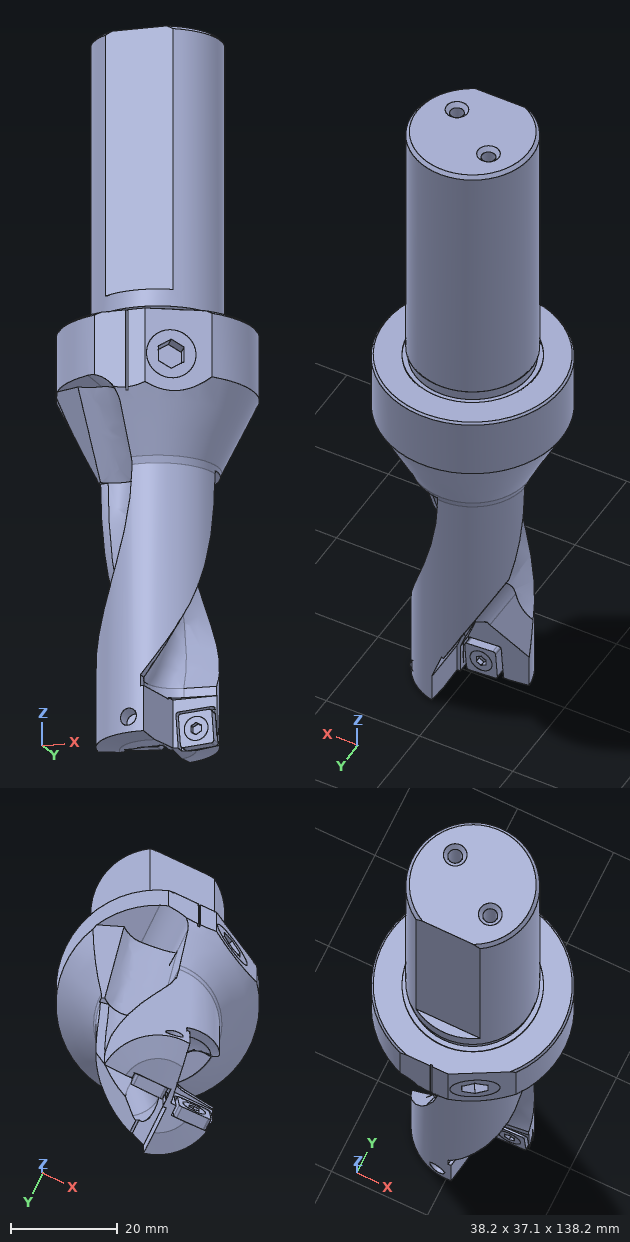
import cadquery as cq
import math


TOTAL_HEIGHT = 138.2
COLLAR_TOP_Z = 81.1
COLLAR_BOTTOM_Z = 68.3
CONE_BOTTOM_Z = 54.2
NECK_TOP_Z = 82.8
FLAT_BOTTOM_Z = 86.5

SHANK_RADIUS = 12.6
NECK_RADIUS = 12.2
COLLAR_RADIUS = 19.1
CONE_BOTTOM_RADIUS = 12.0
DRILL_RADIUS = 11.6
UNDERCUT_RADIUS = 13.3
UNDERCUT_DEPTH = 0.3
SHANK_CHAMFER = 0.7
COLLAR_CHAMFER = 0.4
DRILL_TOP_Z = 52.8

TIP_RING_RADIUS = 7.2
TIP_BEVEL = 0.5
TIP_DISH = 0.4

SHANK_FLAT_Y = -10.6
COLLAR_FLAT_Y = -18.0
PLUG_FLAT_ANGLE = 28.0
PLUG_FLAT_DISTANCE = 17.5
MARK_WIDTH = 0.4
MARK_DEPTH = 0.3

COOLANT_X = -5.5
COOLANT_Y = 3.9
COOLANT_RADIUS = 1.4
COOLANT_MOUTH_RADIUS = 2.2
COOLANT_DEPTH = TOTAL_HEIGHT - COLLAR_TOP_Z

PLUG_X = 8.0
PLUG_Z = 72.4
PLUG_RADIUS = 4.7
PLUG_LENGTH = 5.5
PLUG_HEX_DIAMETER = 5.7
PLUG_HEX_DEPTH = 3.5

FLUTE_WALL_X = -1.1
FLUTE_CENTRE_Y = -5.3
FLUTE_ARC_RADIUS = 6.2
FLUTE_LIP_X = -10.0
FLUTE_LIP_RISE = 0.2
FLUTE_REACH = 16.6
FLUTE_TOP_Z = 53.3
FLUTE_BOTTOM_Z = 9.4
FLUTE_SECTIONS = 9
TWIST_ANGLE = 84.0
TWIST_BOTTOM_Z = 11.5
FLUTE_CENTRE_X = FLUTE_WALL_X - FLUTE_ARC_RADIUS

RUNOUT_RISE = 9.7
RUNOUT_SLOPE_X = -0.06
RUNOUT_SLOPE_Y = -0.65
RUNOUT_LIP_X = -11.2
RUNOUT_LIP_RISE = 0.4
RUNOUT_REACH = 27.6

RELIEF_RADIUS = 5.1
RELIEF_WALL_OFFSET = 2.8
RELIEF_CENTRE = cq.Vector(-2.8, 4.7, 11.6)
RELIEF_AXIS = cq.Vector(-0.53, -0.38, 1.0).normalized()
RELIEF_LENGTH = 24.9
RELIEF_OPENING_DROP = 2.8

INSERT_SIZE = 6.6
INSERT_THICKNESS = 2.3
INSERT_CORNER_RADIUS = 0.5
INSERT_TILT = 4.0
INSERT_Z = 3.6
OUTER_INSERT_X = 7.6
INNER_INSERT_X = -2.0
OUTER_FACE_Y = 0.0
INNER_FACE_Y = 0.3
POCKET_CLEARANCE = 0.5

OUTER_FLOOR_Y = 0.3
OUTER_WALL_EDGE_X = 1.1
OUTER_WALL_ROOT_X = 2.9
OUTER_SPACE_TOP_Z = 9.7
INNER_FLOOR_Y = -1.0
INNER_WALL_X = 2.5
INNER_STEP_Y = 1.5
INNER_STEP_WIDTH = 0.7
INNER_SLOPE_BOTTOM_Z = 6.6
INNER_SLOPE_TOP_Z = 12.7
INNER_SLOPE_RUN = 2.2

SCREW_HEAD_RADIUS = 2.3
SCREW_HEAD_DEPTH = 1.2
SCREW_RADIUS = 1.7
SCREW_LENGTH = 7.6
SCREW_HEX_DIAMETER = 2.3
SCREW_HEX_DEPTH = 1.1


def turned_blank():
    """Shank, neck, collar, cone and drill stem as one revolved solid."""
    profile = [
        (0, TIP_DISH),
        (TIP_RING_RADIUS, 0),
        (DRILL_RADIUS, TIP_BEVEL),
        (DRILL_RADIUS, DRILL_TOP_Z),
        (CONE_BOTTOM_RADIUS, CONE_BOTTOM_Z),
        (COLLAR_RADIUS, COLLAR_BOTTOM_Z),
        (COLLAR_RADIUS, COLLAR_TOP_Z - COLLAR_CHAMFER),
        (COLLAR_RADIUS - COLLAR_CHAMFER, COLLAR_TOP_Z),
        (UNDERCUT_RADIUS, COLLAR_TOP_Z),
        (UNDERCUT_RADIUS, COLLAR_TOP_Z - UNDERCUT_DEPTH),
        (NECK_RADIUS, COLLAR_TOP_Z - UNDERCUT_DEPTH),
        (NECK_RADIUS, NECK_TOP_Z),
        (SHANK_RADIUS, NECK_TOP_Z + SHANK_RADIUS - NECK_RADIUS),
        (SHANK_RADIUS, TOTAL_HEIGHT - SHANK_CHAMFER),
        (SHANK_RADIUS - SHANK_CHAMFER, TOTAL_HEIGHT),
        (0, TOTAL_HEIGHT),
    ]
    return cq.Workplane("XZ").polyline(profile).close().revolve(360, (0, 0), (0, 1))


def block(x_range, y_range, z_range):
    """Axis-aligned box between the given limits."""
    sizes = [high - low for low, high in (x_range, y_range, z_range)]
    corner = (x_range[0], y_range[0], z_range[0])
    return cq.Workplane("XY").box(*sizes, centered=False).translate(corner)


def half_turn(shape):
    """Copy of the shape on the opposite side of the drill axis."""
    return shape.rotate((0, 0, 0), (0, 0, 1), 180)


def cut_flats(body):
    """Shank flat, two collar flats and the orientation mark on the collar."""
    far = 2 * COLLAR_RADIUS
    shank_flat = block((-far, far), (-far, SHANK_FLAT_Y), (FLAT_BOTTOM_Z, TOTAL_HEIGHT))
    collar_z = (DRILL_TOP_Z, COLLAR_TOP_Z)
    collar_flat = block((-far, far), (-far, COLLAR_FLAT_Y), collar_z)
    plug_flat = block((-far, far), (-far, -PLUG_FLAT_DISTANCE), collar_z)
    plug_flat = plug_flat.rotate((0, 0, 0), (0, 0, 1), PLUG_FLAT_ANGLE)
    mark = block((-MARK_WIDTH / 2, MARK_WIDTH / 2), (-far, COLLAR_FLAT_Y + MARK_DEPTH), collar_z)
    return body.cut(shank_flat).cut(collar_flat).cut(plug_flat).cut(mark)


def cut_coolant_inlets(body):
    """Two countersunk coolant holes in the shank end."""
    inlets = [(COOLANT_X, COOLANT_Y), (-COOLANT_X, -COOLANT_Y)]
    top = cq.Workplane("XY", origin=(0, 0, TOTAL_HEIGHT))
    bores = top.pushPoints(inlets).circle(COOLANT_RADIUS).extrude(-COOLANT_DEPTH)
    body = body.cut(bores)
    for x, y in inlets:
        mouth_depth = COOLANT_MOUTH_RADIUS - COOLANT_RADIUS
        mouth = cq.Solid.makeCone(
            COOLANT_MOUTH_RADIUS, COOLANT_RADIUS, mouth_depth,
            cq.Vector(x, y, TOTAL_HEIGHT), cq.Vector(0, 0, -1),
        )
        body = body.cut(cq.Workplane(mouth))
    return body


def flute_section(reach, lip_x, lip_rise):
    """Closed flute outline in the XY plane, open towards -X and -Y up to the reach."""
    bend = FLUTE_ARC_RADIUS * math.sqrt(0.5)
    lip_y = FLUTE_CENTRE_Y + math.sqrt(FLUTE_ARC_RADIUS**2 - (lip_x - FLUTE_CENTRE_X) ** 2)
    return (
        cq.Workplane("XY")
        .moveTo(FLUTE_WALL_X, -reach)
        .lineTo(FLUTE_WALL_X, FLUTE_CENTRE_Y)
        .threePointArc((FLUTE_CENTRE_X + bend, FLUTE_CENTRE_Y + bend), (lip_x, lip_y))
        .lineTo(-reach, lip_y + lip_rise * (reach + lip_x))
        .lineTo(-reach, -reach)
        .close()
        .val()
    )


def twisted_flute():
    """Flute whose twist grows with the square of the drop from its top, then ends straight."""
    section = flute_section(FLUTE_REACH, FLUTE_LIP_X, FLUTE_LIP_RISE)
    wires = []
    for i in range(FLUTE_SECTIONS):
        fraction = i / (FLUTE_SECTIONS - 1)
        z = FLUTE_TOP_Z - (FLUTE_TOP_Z - TWIST_BOTTOM_Z) * fraction
        twist = TWIST_ANGLE * fraction**2
        wire = section.rotate(cq.Vector(0, 0, 0), cq.Vector(0, 0, 1), -twist)
        wires.append(wire.translate(cq.Vector(0, 0, z)))
    twisted = cq.Workplane(cq.Solid.makeLoft(wires))
    lowest = wires[-1]
    straight_drop = cq.Vector(0, 0, FLUTE_BOTTOM_Z - TWIST_BOTTOM_Z)
    return twisted.union(cq.Workplane(cq.Solid.extrudeLinear(lowest, [], straight_drop)))


def flute_runout():
    """Slanted continuation of the flute through the cone, closed at the top by a rounded roof."""
    start = flute_section(RUNOUT_REACH, RUNOUT_LIP_X, RUNOUT_LIP_RISE)
    start = start.translate(cq.Vector(0, 0, FLUTE_TOP_Z))
    roof_rise = RUNOUT_RISE + FLUTE_ARC_RADIUS
    slant = cq.Vector(RUNOUT_SLOPE_X, RUNOUT_SLOPE_Y, 1) * roof_rise
    channel = cq.Workplane(cq.Solid.makeLoft([start, start.translate(slant)], True))
    roof_x = FLUTE_CENTRE_X + RUNOUT_SLOPE_X * RUNOUT_RISE
    roof_z = FLUTE_TOP_Z + RUNOUT_RISE
    bend = FLUTE_ARC_RADIUS * math.sqrt(0.5)
    envelope = (
        cq.Workplane("XZ")
        .moveTo(0, FLUTE_TOP_Z)
        .lineTo(roof_x + FLUTE_ARC_RADIUS, roof_z)
        .threePointArc((roof_x + bend, roof_z + bend), (roof_x, roof_z + FLUTE_ARC_RADIUS))
        .lineTo(-2 * RUNOUT_REACH, roof_z + FLUTE_ARC_RADIUS)
        .lineTo(-2 * RUNOUT_REACH, FLUTE_TOP_Z)
        .close()
        .extrude(2 * RUNOUT_REACH, both=True)
    )
    return channel.intersect(envelope)


def flute_relief():
    """Slanted groove with a ball end, its two walls open towards +Y and -X."""
    across = cq.Vector(0, 1, 0) - RELIEF_AXIS * RELIEF_AXIS.y
    reach = 2 * DRILL_RADIUS
    section = cq.Workplane(cq.Plane(RELIEF_CENTRE, across, RELIEF_AXIS))
    groove = section.circle(RELIEF_RADIUS).extrude(RELIEF_LENGTH)
    opening = (
        section.workplane(offset=-RELIEF_OPENING_DROP)
        .polyline(
            [
                (-RELIEF_RADIUS, reach),
                (-RELIEF_RADIUS, 0),
                (0, 0),
                (0, -RELIEF_WALL_OFFSET),
                (reach, -RELIEF_WALL_OFFSET),
                (reach, reach),
            ]
        )
        .close()
        .extrude(RELIEF_OPENING_DROP + RELIEF_LENGTH)
    )
    ball = cq.Workplane("XY").sphere(RELIEF_RADIUS).translate(RELIEF_CENTRE.toTuple())
    return groove.union(opening).union(ball)


def cut_flutes(body):
    """Two opposite twisted flutes; only the first has a relief and breaks out through the cone."""
    flute = twisted_flute()
    for cutter in (flute, half_turn(flute), flute_relief(), flute_runout()):
        body = body.cut(cutter)
    return body


def outer_chip_space():
    """Open space with a flat floor and a slightly slanted wall for the outer insert."""
    far = 2 * DRILL_RADIUS
    outline = [
        (OUTER_WALL_EDGE_X, -DRILL_RADIUS),
        (OUTER_WALL_ROOT_X, OUTER_FLOOR_Y),
        (far, OUTER_FLOOR_Y),
        (far, -DRILL_RADIUS),
    ]
    return cq.Workplane("XY").polyline(outline).close().extrude(OUTER_SPACE_TOP_Z)


def inner_chip_space(wall_x, floor_y):
    """Open space for the inner insert; its wall leans towards -X above the insert."""
    far = 2 * DRILL_RADIUS
    outline = [
        (-far, 0),
        (wall_x, 0),
        (wall_x, INNER_SLOPE_BOTTOM_Z),
        (wall_x - INNER_SLOPE_RUN, INNER_SLOPE_TOP_Z),
        (-far, INNER_SLOPE_TOP_Z),
    ]
    space = cq.Workplane("XZ", origin=(0, floor_y, 0)).polyline(outline).close()
    return space.extrude(-far)


def cut_chip_spaces(body):
    """Open spaces at the tip; the inner one steps in before it reaches its floor."""
    inner_step = inner_chip_space(INNER_WALL_X, INNER_STEP_Y)
    inner_floor = inner_chip_space(INNER_WALL_X - INNER_STEP_WIDTH, INNER_FLOOR_Y)
    return body.cut(outer_chip_space()).cut(inner_step).cut(inner_floor)


def insert_block(size):
    """Square plate centred on the origin, its face at Y = 0 looking towards -Y."""
    plate = cq.Workplane("XZ").rect(size, size).extrude(-INSERT_THICKNESS)
    return plate.edges("|Y").fillet(INSERT_CORNER_RADIUS).rotate((0, 0, 0), (0, 1, 0), -INSERT_TILT)


def screw_blank():
    """Countersunk screw along +Y without its socket, its head level with Y = 0."""
    profile = [
        (0, 0),
        (SCREW_HEAD_RADIUS, 0),
        (SCREW_RADIUS, SCREW_HEAD_DEPTH),
        (SCREW_RADIUS, SCREW_LENGTH),
        (0, SCREW_LENGTH),
    ]
    return cq.Workplane("XY").polyline(profile).close().revolve(360, (0, 0), (0, 1))


def hex_socket(diameter, depth):
    """Hexagonal prism going in along +Y, with corners at top and bottom."""
    prism = cq.Workplane("XZ").polygon(6, diameter).extrude(-depth)
    return prism.rotate((0, 0, 0), (0, 1, 0), 90)


def place_outer(shape):
    """Moves a shape made at the origin to the outer insert's seat."""
    return shape.translate((OUTER_INSERT_X, OUTER_FACE_Y, INSERT_Z))


def place_inner(shape):
    """Moves a shape made at the origin to the inner insert's seat, facing +Y."""
    return half_turn(shape).translate((INNER_INSERT_X, INNER_FACE_Y, INSERT_Z))


def cut_insert_seats(body):
    """Insert pockets and screw holes; the inner screw hole opens on the -Y side."""
    pocket = insert_block(INSERT_SIZE + 2 * POCKET_CLEARANCE)
    outlet = cq.Workplane("XZ").circle(SCREW_RADIUS).extrude(-2 * DRILL_RADIUS)
    for place in (place_outer, place_inner):
        body = body.cut(place(pocket)).cut(place(screw_blank()))
    return body.cut(place_inner(outlet))


def make_insert():
    """Square cutting insert with a countersunk screw hole."""
    return insert_block(INSERT_SIZE).cut(screw_blank())


def make_insert_screw():
    """Countersunk screw with a hexagonal socket."""
    return screw_blank().cut(hex_socket(SCREW_HEX_DIAMETER, SCREW_HEX_DEPTH))


def plug_blank():
    """Plug screw along +Y without its socket, its face at Y = 0."""
    return cq.Workplane("XZ").circle(PLUG_RADIUS).extrude(-PLUG_LENGTH)


def place_plug(shape):
    """Moves a shape made at the origin onto the sloping collar flat."""
    slope = math.radians(PLUG_FLAT_ANGLE)
    plug_y = (PLUG_X * math.sin(slope) - PLUG_FLAT_DISTANCE) / math.cos(slope)
    return shape.rotate((0, 0, 0), (0, 0, 1), PLUG_FLAT_ANGLE).translate((PLUG_X, plug_y, PLUG_Z))


def make_plug_screw():
    """Flush plug screw with a hexagonal socket."""
    return place_plug(plug_blank().cut(hex_socket(PLUG_HEX_DIAMETER, PLUG_HEX_DEPTH)))


def make_drill_body():
    """Drill body with flats, flutes, insert seats and holes."""
    body = cut_flats(turned_blank())
    body = cut_coolant_inlets(body)
    body = cut_flutes(body)
    body = cut_chip_spaces(body)
    body = cut_insert_seats(body)
    return body.cut(place_plug(plug_blank()))


drill_body = make_drill_body()
plug_screw = make_plug_screw()
inserts = [place(make_insert()) for place in (place_outer, place_inner)]
insert_screws = [place(make_insert_screw()) for place in (place_outer, place_inner)]

bodies = [drill_body, plug_screw, *inserts, *insert_screws]
result = cq.Compound.makeCompound([solid for body in bodies for solid in body.vals()])